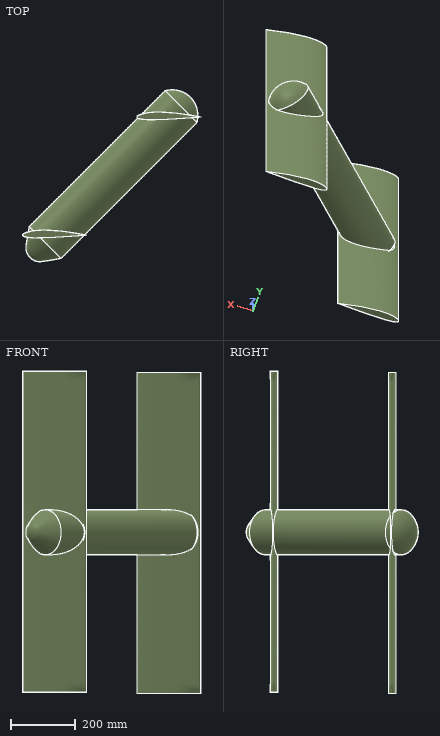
import cadquery as cq
import math

fuselage_radius = 70.0
tube_length = 599.0
fuselage_heading = 45.0
tube_start_x = 70.0
tube_start_y = -23.0

nose_length = 66.0
nose_shoulder_length = 33.0
nose_shoulder_radius = 47.0
nose_rim_slope = 0.6
tail_dome_radius = 80.0

wing_count = 2
chord = 200.0
wing_span = 1000.0
max_camber = 0.02
camber_position = 0.4
thickness_ratio = 0.12
section_steps = 16

wing_step_x = 355.0
wing_step_y = 368.0
wing_step_z = -4.0


def make_fuselage():
    """Revolve the half profile about its axis, then turn it to its heading."""
    tail_dome_height = tail_dome_radius - math.sqrt(tail_dome_radius**2 - fuselage_radius**2)
    half_dome_angle = math.asin(fuselage_radius / tail_dome_radius) / 2
    dome_centre = tube_length + tail_dome_height - tail_dome_radius
    dome_middle = (
        dome_centre + tail_dome_radius * math.cos(half_dome_angle),
        tail_dome_radius * math.sin(half_dome_angle),
    )
    profile = (
        cq.Workplane("XY")
        .moveTo(0, fuselage_radius)
        .lineTo(tube_length, fuselage_radius)
        .threePointArc(dome_middle, (tube_length + tail_dome_height, 0))
        .lineTo(-nose_length, 0)
        .spline(
            [(-nose_shoulder_length, nose_shoulder_radius), (0, fuselage_radius)],
            tangents=[(0, 1), (1, nose_rim_slope)],
            includeCurrent=True,
        )
        .close()
    )
    return (
        profile.revolve(360, (0, 0, 0), (1, 0, 0))
        .rotate((0, 0, 0), (0, 0, 1), fuselage_heading)
        .translate((tube_start_x, tube_start_y, 0))
    )


def section_point(fraction, side):
    """Point on the aerofoil at a chord fraction; side is +1 (upper) or -1 (lower)."""
    half_thickness = 5 * thickness_ratio * (
        0.2969 * math.sqrt(fraction) - 0.1260 * fraction - 0.3516 * fraction**2
        + 0.2843 * fraction**3 - 0.1036 * fraction**4
    )
    reach = camber_position if fraction < camber_position else 1 - camber_position
    camber = max_camber * (1 - ((fraction - camber_position) / reach) ** 2)
    return (chord * fraction, chord * (camber + side * half_thickness))


def make_wing(index, fuselage):
    """Extrude the aerofoil and open a hole where the fuselage passes through."""
    fractions = [(1 - math.cos(math.pi * i / section_steps)) / 2 for i in range(section_steps + 1)]
    upper = [section_point(fraction, 1) for fraction in reversed(fractions)]
    lower = [section_point(fraction, -1) for fraction in fractions[1:]]
    wing_middle = (index - 0.5) * wing_step_z
    blade = (
        cq.Workplane("XY")
        .spline(upper + lower)
        .close()
        .extrude(wing_span)
        .translate((index * wing_step_x, index * wing_step_y, wing_middle - wing_span / 2))
    )
    return blade.cut(fuselage).solids()


fuselage = make_fuselage()
wings = [make_wing(index, fuselage) for index in range(wing_count)]

result = cq.Compound.makeCompound([fuselage.val(), *[wing.val() for wing in wings]])